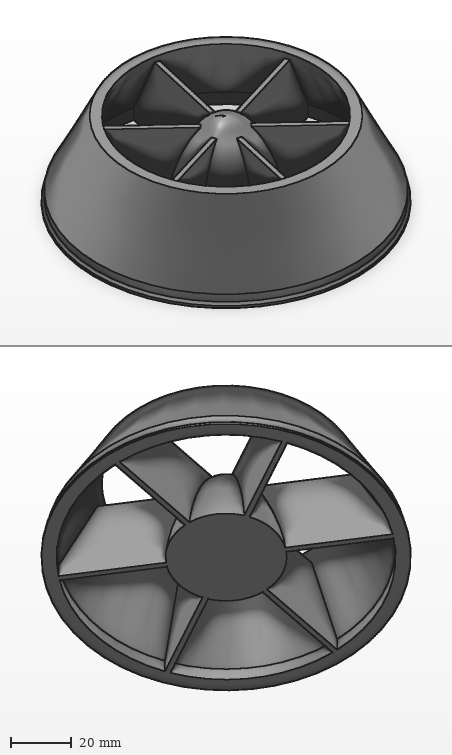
import cadquery as cq

flange_radius = 61.0
total_height = 35.0
rim_radius = 45.0
wall = 4.0

flange_edge_height = 1.0
flange_chamfer = 1.0
skirt_radius = flange_radius - flange_chamfer
flange_top = flange_edge_height + flange_chamfer
skirt_top = 5.0

hub_radius = 20.0
hub_height = total_height
hub_base_pull = 4.9
hub_tip_pull = 14.0

vane_count = 6
vane_thickness = 2.0
vane_top = 31.0
vane_embed = wall / 2


def make_shroud():
    """Revolved conical shell with a chamfered flange around its base."""
    return (
        cq.Workplane("XZ")
        .moveTo(skirt_radius - wall, 0)
        .lineTo(flange_radius, 0)
        .lineTo(flange_radius, flange_edge_height)
        .lineTo(skirt_radius, flange_top)
        .lineTo(skirt_radius, skirt_top)
        .lineTo(rim_radius, total_height)
        .lineTo(rim_radius - wall, total_height)
        .lineTo(skirt_radius - wall, skirt_top)
        .close()
        .revolve(360, (0, 0, 0), (0, 1, 0))
    )


def make_hub():
    """Solid bullet-shaped dome: level at its tip, upright at its flat base."""
    return (
        cq.Workplane("XZ")
        .moveTo(hub_radius, 0)
        .bezier(
            [
                (hub_radius, 0),
                (hub_radius, hub_base_pull),
                (hub_tip_pull, hub_height),
                (0, hub_height),
            ]
        )
        .lineTo(0, 0)
        .close()
        .revolve(360, (0, 0, 0), (0, 1, 0))
    )


def make_vane(angle):
    """Flat vane from the axis into the middle of the shroud wall."""
    lower_reach = skirt_radius - wall + vane_embed
    cone_slope = (skirt_radius - rim_radius) / (total_height - skirt_top)
    upper_reach = lower_reach - cone_slope * (vane_top - skirt_top)
    return (
        cq.Workplane("XZ")
        .moveTo(0, 0)
        .lineTo(lower_reach, 0)
        .lineTo(lower_reach, skirt_top)
        .lineTo(upper_reach, vane_top)
        .lineTo(0, vane_top)
        .close()
        .extrude(vane_thickness / 2, both=True)
        .rotate((0, 0, 0), (0, 0, 1), angle)
    )


result = make_shroud().union(make_hub())
for index in range(vane_count):
    result = result.union(make_vane(index * 360 / vane_count))